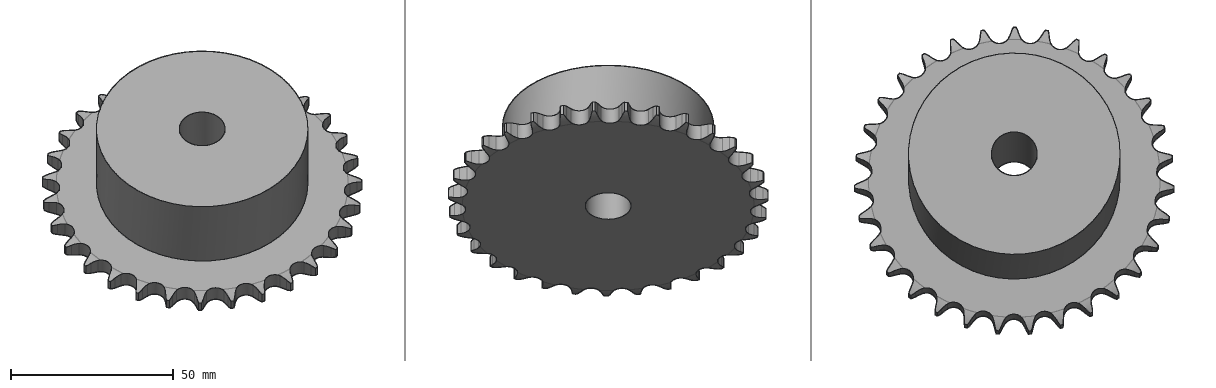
import cadquery as cq
import math

tooth_count = 31
tip_diameter = 98.3
roller_pitch = 9.5
seat_radius = 3.2
seat_half_angle = 58.5
shoulder_radius = 47.6
shoulder_half_width = 1.03
land_half_width = 0.44

plate_thickness = 5.3
rim_radius = 10.0
rim_drop = 1.0

hub_diameter = 65.0
total_height = 30.0
bore_diameter = 14.0

tip_radius = tip_diameter / 2
half_step = math.pi / tooth_count
seat_center_radius = roller_pitch / (2 * math.sin(half_step))
rim_center_radius = tip_radius - math.sqrt(rim_radius**2 - (rim_radius - rim_drop)**2)


def rim_point(angle):
    """Point on the upper rim arc, at an angle away from the axis direction."""
    radius = rim_center_radius + rim_radius * math.sin(angle)
    return radius, plate_thickness - rim_radius * (1 - math.cos(angle))


def toothed_blank():
    """Disc with both outer rims rounded by arcs tangent to its flat faces."""
    full_angle = math.acos(1 - rim_drop / rim_radius)
    mid_radius, mid_height = rim_point(full_angle / 2)
    return (
        cq.Workplane("XZ")
        .lineTo(rim_center_radius, 0)
        .threePointArc((mid_radius, plate_thickness - mid_height), (tip_radius, rim_drop))
        .lineTo(tip_radius, plate_thickness - rim_drop)
        .threePointArc((mid_radius, mid_height), (rim_center_radius, plate_thickness))
        .lineTo(0, plate_thickness)
        .close()
        .revolve(360, (0, 0), (0, 1))
    )


def seat_point(angle):
    """Point on the roller seat, at an angle from the bottom of the gap."""
    return seat_radius * math.sin(angle), seat_center_radius - seat_radius * math.cos(angle)


def tooth_side_point(radius, half_width):
    """Point on the gap side of the tooth to the right of a gap centred on +Y."""
    angle = half_step - math.asin(half_width / radius)
    return radius * math.sin(angle), radius * math.cos(angle)


def tooth_gap():
    """Cutter for one gap centred on +Y: seat, concave flank and convex turn-over at the tip."""
    seat_angle = math.radians(seat_half_angle)
    land_edge = tooth_side_point(tip_radius, land_half_width)
    clear_height = tip_radius + seat_radius
    half_gap = (
        cq.Workplane("XY")
        .moveTo(*seat_point(0))
        .threePointArc(seat_point(seat_angle / 2), seat_point(seat_angle))
        .tangentArcPoint(tooth_side_point(shoulder_radius, shoulder_half_width), relative=False)
        .tangentArcPoint(land_edge, relative=False)
        .lineTo(land_edge[0], clear_height)
        .lineTo(0, clear_height)
        .close()
        .extrude(plate_thickness)
    )
    return half_gap.union(half_gap.mirror("YZ"))


plate = toothed_blank()
gap = tooth_gap()
for index in range(tooth_count):
    plate = plate.cut(gap.rotate((0, 0, 0), (0, 0, 1), index * 360 / tooth_count))

hub = cq.Workplane("XY").circle(hub_diameter / 2).extrude(total_height)
bore = cq.Workplane("XY").circle(bore_diameter / 2).extrude(total_height)

result = plate.union(hub).cut(bore)